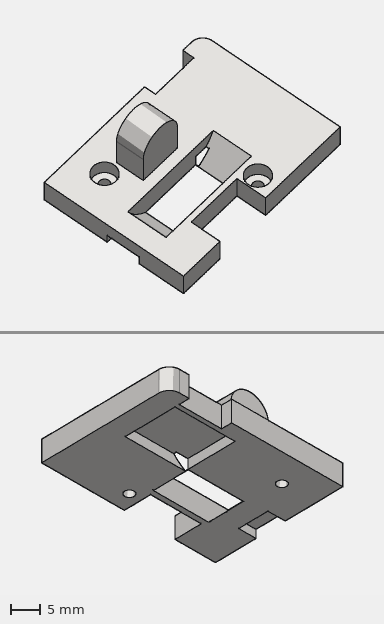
import cadquery as cq

PLATE_X = 31.0
PLATE_Y = 41.5
PLATE_Z = 5
CORNER_RADIUS = 2.5

LEFT_NOTCH_DEPTH = 2.45
LEFT_NOTCH_Y = (26.55, 36.7)
RIGHT_NOTCH_X = 24.6
RIGHT_NOTCH_Y = (9.65, 21.75)

TOTAL_Z = 15.5
TAB_X = (6.7, 12.65)
TAB_WIDTH = 9.05
TAB_RADIUS = TAB_WIDTH / 2
AXIS_Y = 15.7
AXIS_Z = TOTAL_Z - TAB_RADIUS

WINDOW_X = (14.95, 23.4)
WINDOW_RADIUS = 12.8

SCREW_CENTERS = [(6.7, 8.0), (26.95, 24.53)]
SCREW_DIAMETER = 2.2
BORE_DIAMETER = 5
BORE_DEPTH = 3.0

CHANNEL_X = (14.03, 21.12)
CHANNEL_LENGTH = 4.15
CHANNEL_HEIGHT = 1.9

POCKET_HEIGHT = 2.3
POCKET_WALL = 1.0
POCKET_X = (LEFT_NOTCH_DEPTH + POCKET_WALL, 15.55)
POCKET_Y = (22.35, LEFT_NOTCH_Y[1])


def block(x_range, y_range, height):
    """Box standing on the underside plane, between the given X and Y limits."""
    size_x = x_range[1] - x_range[0]
    size_y = y_range[1] - y_range[0]
    box = cq.Workplane("XY").box(size_x, size_y, height, centered=False)
    return box.translate((x_range[0], y_range[0], 0))


def cylinder_on_axis(x_range, radius):
    """Cylinder along the shared X axis of the tab and the window."""
    disc = cq.Workplane("YZ", origin=(x_range[0], AXIS_Y, AXIS_Z)).circle(radius)
    return disc.extrude(x_range[1] - x_range[0])


def make_plate():
    plate = block((0, PLATE_X), (0, PLATE_Y), PLATE_Z)
    plate = plate.edges("|Z and <X and >Y").fillet(CORNER_RADIUS)
    plate = plate.cut(block((0, LEFT_NOTCH_DEPTH), LEFT_NOTCH_Y, PLATE_Z))
    return plate.cut(block((RIGHT_NOTCH_X, PLATE_X), RIGHT_NOTCH_Y, PLATE_Z))


def make_tab():
    tab_y = (AXIS_Y - TAB_RADIUS, AXIS_Y + TAB_RADIUS)
    upright = block(TAB_X, tab_y, AXIS_Z - PLATE_Z).translate((0, 0, PLATE_Z))
    return upright.union(cylinder_on_axis(TAB_X, TAB_RADIUS))


def make_screw_hole(center):
    """Through hole with a wider bore sunk from the top of the plate."""
    base = cq.Workplane("XY").moveTo(*center)
    through = base.circle(SCREW_DIAMETER / 2).extrude(PLATE_Z)
    bore = base.circle(BORE_DIAMETER / 2).extrude(BORE_DEPTH)
    return through.union(bore.translate((0, 0, PLATE_Z - BORE_DEPTH)))


plate = make_plate()
plate = plate.cut(cylinder_on_axis(WINDOW_X, WINDOW_RADIUS))
plate = plate.cut(block(CHANNEL_X, (0, CHANNEL_LENGTH), CHANNEL_HEIGHT))
plate = plate.cut(block(POCKET_X, POCKET_Y, POCKET_HEIGHT))
for screw_center in SCREW_CENTERS:
    plate = plate.cut(make_screw_hole(screw_center))
result = plate.union(make_tab())